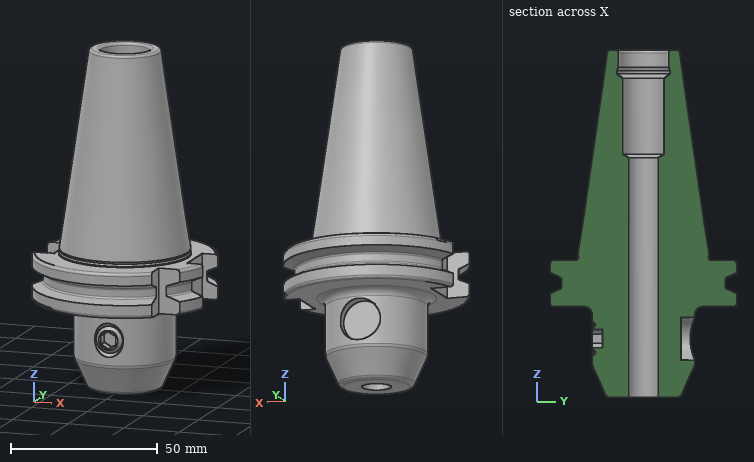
import cadquery as cq
import math

TOTAL_LENGTH = 118.4
GAUGE_Z = 50.0
FLANGE_TOP_Z = 46.8
FLANGE_THICKNESS = 15.9
FLANGE_BOTTOM_Z = FLANGE_TOP_Z - FLANGE_THICKNESS

TAPER_SLOPE = 7 / 48
GAUGE_RADIUS = 22.3
TAPER_END_RADIUS = GAUGE_RADIUS - TAPER_SLOPE * (TOTAL_LENGTH - GAUGE_Z)
TAPER_EDGE_FILLET = 1.0
TAPER_BOTTOM_Z = 48.5
TAPER_BOTTOM_RADIUS = GAUGE_RADIUS + TAPER_SLOPE * (GAUGE_Z - TAPER_BOTTOM_Z)
RELIEF_Z = 47.8
RELIEF_RADIUS = 22.1
COLLAR_RADIUS = 22.6
COLLAR_TOP_Z = 47.1

FLANGE_DIAMETER = 63.6
FLANGE_RADIUS = FLANGE_DIAMETER / 2
FLANGE_EDGE_FILLET = 1.1
GROOVE_Z = 39.0
GROOVE_FLOOR_RADIUS = 28.0
GROOVE_FLOOR_WIDTH = 3.4
GROOVE_FLOOR_FILLET = 0.7
GROOVE_FLANK_ANGLE = 24.0
GROOVE_DEPTH = FLANGE_RADIUS - GROOVE_FLOOR_RADIUS
GROOVE_MOUTH_WIDTH = GROOVE_FLOOR_WIDTH + 2 * GROOVE_DEPTH * math.tan(math.radians(GROOVE_FLANK_ANGLE))

SLOT_WIDTH = 16.1
LEFT_SLOT_FLOOR = 22.7
RIGHT_SLOT_FLOOR = 25.1
NOTCH_X = 18.5
NOTCH_Y = 18.4

NOSE_RADIUS = 17.5
NECK_FILLET = 2.8
NOSE_CONE_HEIGHT = 10.8
NOSE_END_RADIUS = 12.7
NOSE_SHOULDER_FILLET = 2.5
NOSE_END_FILLET = 2.0

PILOT_RADIUS = 8.5
PILOT_FILLET = 1.0
PILOT_DEPTH = 5.9
UNDERCUT_RADIUS = 9.0
UNDERCUT_TOP_DEPTH = 7.1
UNDERCUT_BOTTOM_DEPTH = 8.2
THREAD_START_DEPTH = 9.7
THREAD_RADIUS = 7.0
THREAD_DEPTH = 35.5
BORE_RADIUS = 5.0
STEP_CONE_ANGLE = 30.0

SCREW_Z = 20.0
SCREW_FACE_RADIUS = 3.4
SCREW_SEAT_RADIUS = 4.7
SCREW_MOUTH_RADIUS = 5.9
HEX_ACROSS_FLATS = 5.3
HEX_DEPTH = 3.5
BALANCE_HOLE_RADIUS = 7.2
BALANCE_HOLE_DEPTH = 4.7


def revolved(profile):
    """Turn a closed (radius, z) sketch around the Z axis."""
    return profile.close().revolve(360, (0, 0, 0), (0, 1, 0))


def shank():
    """Steep taper with its relief and collar, rooted in the flange."""
    solid = revolved(
        cq.Workplane("XZ")
        .moveTo(0, FLANGE_BOTTOM_Z)
        .lineTo(COLLAR_RADIUS, FLANGE_BOTTOM_Z)
        .lineTo(COLLAR_RADIUS, COLLAR_TOP_Z)
        .lineTo(RELIEF_RADIUS, RELIEF_Z)
        .lineTo(TAPER_BOTTOM_RADIUS, TAPER_BOTTOM_Z)
        .lineTo(TAPER_END_RADIUS, TOTAL_LENGTH)
        .lineTo(0, TOTAL_LENGTH)
    )
    return solid.faces(">Z").edges().fillet(TAPER_EDGE_FILLET)


def flange():
    """Rounded disc with the V-shaped gripper groove around its rim."""
    disc = (
        cq.Workplane("XY", origin=(0, 0, FLANGE_BOTTOM_Z))
        .circle(FLANGE_RADIUS)
        .extrude(FLANGE_THICKNESS)
        .edges()
        .fillet(FLANGE_EDGE_FILLET)
    )
    groove = revolved(
        cq.Workplane("XZ")
        .moveTo(GROOVE_FLOOR_RADIUS, GROOVE_Z - GROOVE_FLOOR_WIDTH / 2)
        .lineTo(FLANGE_RADIUS, GROOVE_Z - GROOVE_MOUTH_WIDTH / 2)
        .lineTo(FLANGE_RADIUS, GROOVE_Z + GROOVE_MOUTH_WIDTH / 2)
        .lineTo(GROOVE_FLOOR_RADIUS, GROOVE_Z + GROOVE_FLOOR_WIDTH / 2)
    )
    floor_edges = groove.edges("%CIRCLE").edges(cq.selectors.RadiusNthSelector(0))
    groove = floor_edges.fillet(GROOVE_FLOOR_FILLET)
    return disc.cut(groove)


def flange_cutter(x_low, x_high, y_low, y_high):
    """A block through the full flange thickness."""
    return (
        cq.Workplane("XY", origin=(0, 0, FLANGE_BOTTOM_Z))
        .moveTo(x_low, y_low)
        .lineTo(x_high, y_low)
        .lineTo(x_high, y_high)
        .lineTo(x_low, y_high)
        .close()
        .extrude(FLANGE_THICKNESS)
    )


def nose():
    """Cylindrical tool clamp with a tapered tip."""
    arc_start_z = FLANGE_BOTTOM_Z - NECK_FILLET
    solid = revolved(
        cq.Workplane("XZ")
        .lineTo(NOSE_END_RADIUS, 0)
        .lineTo(NOSE_RADIUS, NOSE_CONE_HEIGHT)
        .lineTo(NOSE_RADIUS, arc_start_z)
        .radiusArc((NOSE_RADIUS + NECK_FILLET, FLANGE_BOTTOM_Z), NECK_FILLET)
        .lineTo(0, FLANGE_BOTTOM_Z)
    )
    solid = solid.faces("<Z").edges().fillet(NOSE_END_FILLET)
    shoulder = cq.selectors.NearestToPointSelector((0, 0, NOSE_CONE_HEIGHT))
    return solid.edges("%CIRCLE").edges(shoulder).fillet(NOSE_SHOULDER_FILLET)


def axial_bore():
    """Through bore with the pilot and thread for the pull stud."""
    thread_floor = TOTAL_LENGTH - THREAD_DEPTH
    cone_height = (THREAD_RADIUS - BORE_RADIUS) * math.tan(math.radians(STEP_CONE_ANGLE))
    return revolved(
        cq.Workplane("XZ")
        .lineTo(BORE_RADIUS, 0)
        .lineTo(BORE_RADIUS, thread_floor - cone_height)
        .lineTo(THREAD_RADIUS, thread_floor)
        .lineTo(THREAD_RADIUS, TOTAL_LENGTH - THREAD_START_DEPTH)
        .lineTo(UNDERCUT_RADIUS, TOTAL_LENGTH - UNDERCUT_BOTTOM_DEPTH)
        .lineTo(UNDERCUT_RADIUS, TOTAL_LENGTH - UNDERCUT_TOP_DEPTH)
        .lineTo(PILOT_RADIUS, TOTAL_LENGTH - PILOT_DEPTH)
        .lineTo(PILOT_RADIUS, TOTAL_LENGTH - PILOT_FILLET)
        .radiusArc((PILOT_RADIUS + PILOT_FILLET, TOTAL_LENGTH), PILOT_FILLET)
        .lineTo(0, TOTAL_LENGTH)
    )


def screw_recess():
    """V-shaped ring between the countersunk mouth and the chamfered screw, plus the hex socket."""
    seat_depth = SCREW_MOUTH_RADIUS - SCREW_SEAT_RADIUS
    ring = (
        cq.Workplane("XY", origin=(0, -NOSE_RADIUS, SCREW_Z))
        .moveTo(SCREW_FACE_RADIUS, 0)
        .lineTo(SCREW_SEAT_RADIUS, seat_depth)
        .lineTo(SCREW_MOUTH_RADIUS, 0)
        .close()
        .revolve(360, (0, 0, 0), (0, 1, 0))
    )
    socket = (
        cq.Workplane("XZ", origin=(0, -NOSE_RADIUS, SCREW_Z))
        .polygon(6, HEX_ACROSS_FLATS, circumscribed=True)
        .extrude(-HEX_DEPTH)
    )
    return ring.union(socket)


def screw_end():
    """Outer end of the screw, standing out level with the crown of the nose."""
    return (
        cq.Workplane("XZ", origin=(0, -NOSE_RADIUS, SCREW_Z))
        .circle(SCREW_SEAT_RADIUS)
        .extrude(-HEX_DEPTH)
    )


def balance_hole():
    """Shallow blind hole opposite the screw."""
    return (
        cq.Workplane("XZ", origin=(0, NOSE_RADIUS, SCREW_Z))
        .circle(BALANCE_HOLE_RADIUS)
        .extrude(BALANCE_HOLE_DEPTH)
    )


half_slot = SLOT_WIDTH / 2
result = (
    flange()
    .cut(flange_cutter(-FLANGE_RADIUS, -LEFT_SLOT_FLOOR, -half_slot, half_slot))
    .cut(flange_cutter(RIGHT_SLOT_FLOOR, FLANGE_RADIUS, -half_slot, half_slot))
    .cut(flange_cutter(NOTCH_X, FLANGE_RADIUS, -FLANGE_RADIUS, -NOTCH_Y))
    .union(shank())
    .union(nose())
    .cut(axial_bore())
    .union(screw_end())
    .cut(screw_recess())
    .cut(balance_hole())
)